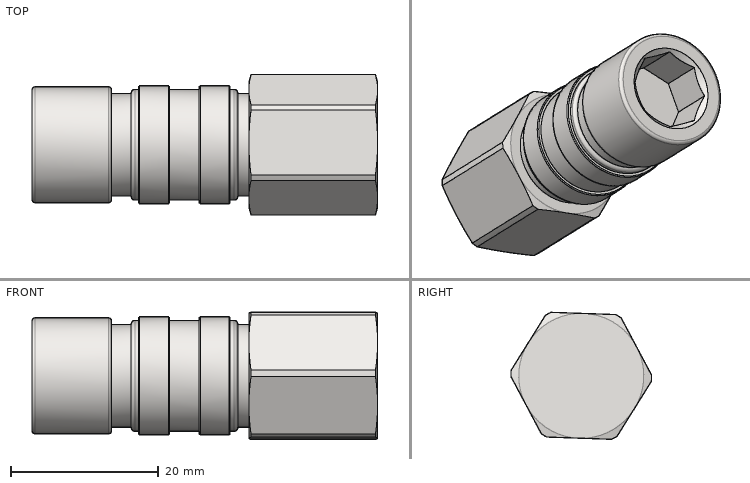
import cadquery as cq
import math

total_length = 47.0
head_length = 10.85
collar_start = 13.5
first_band_start = 14.5
label_groove_start = 18.7
label_groove_end = 22.75
second_band_end = 26.95
collar_end = 28.0
nut_start = 29.5

head_diameter = 15.8
neck_diameter = 14.0
collar_diameter = 15.1
band_diameter = 16.1

head_edge_radius = 0.45
collar_edge_radius = 0.5
band_edge_chamfer = 0.15

nut_across_flats = 17.0
nut_corner_diameter = 19.15
nut_tilt = 2.0
nut_chamfer_angle = 15.0

socket_across_flats = 10.0
socket_mouth_diameter = 11.5
socket_depth = 7.6
mouth_cone_angle = 45.0
octagon_sides = 8
hexagon_sides = 6


def cylinder(start, end, diameter):
    """Cylinder on the X axis between two stations."""
    return cq.Workplane("YZ", origin=(start, 0, 0)).circle(diameter / 2).extrude(end - start)


def prism(start, end, sides, across_flats):
    """Regular prism on the X axis with one corner pointing along Y."""
    across_corners = across_flats / math.cos(math.pi / sides)
    return cq.Workplane("YZ", origin=(start, 0, 0)).polygon(sides, across_corners).extrude(end - start)


def turned_body():
    """Round head, neck and banded collar."""
    head = cylinder(0, head_length, head_diameter).edges().fillet(head_edge_radius)
    neck = cylinder(head_length, nut_start, neck_diameter)
    collar = cylinder(collar_start, collar_end, collar_diameter).edges().fillet(collar_edge_radius)
    body = head.union(neck).union(collar)
    for start, end in (
        (first_band_start, label_groove_start),
        (label_groove_end, second_band_end),
    ):
        band = cylinder(start, end, band_diameter).edges().chamfer(band_edge_chamfer)
        body = body.union(band)
    return body


def nut():
    """Hexagon with turned corners and a shallow cone on both ends."""
    chamfer_rise = (nut_corner_diameter - nut_across_flats) / 2
    chamfer_length = chamfer_rise * math.tan(math.radians(nut_chamfer_angle))
    blank = cylinder(nut_start, total_length, nut_corner_diameter)
    blank = blank.edges().chamfer(chamfer_length, chamfer_rise)
    hexagon = prism(nut_start, total_length, hexagon_sides, nut_across_flats)
    hexagon = hexagon.rotate((0, 0, 0), (1, 0, 0), -nut_tilt)
    return hexagon.intersect(blank)


def socket():
    """Octagonal blind recess with a conical mouth."""
    recess = prism(0, socket_depth, octagon_sides, socket_across_flats)
    mouth_radius = socket_mouth_diameter / 2
    cone_length = mouth_radius / math.tan(math.radians(mouth_cone_angle))
    mouth = (
        cq.Workplane("XY")
        .polyline([(0, 0), (0, mouth_radius), (cone_length, 0)])
        .close()
        .revolve(360, (0, 0, 0), (1, 0, 0))
    )
    mouth = mouth.intersect(cylinder(0, socket_depth, socket_mouth_diameter))
    return recess.union(mouth)


result = turned_body().union(nut()).cut(socket())